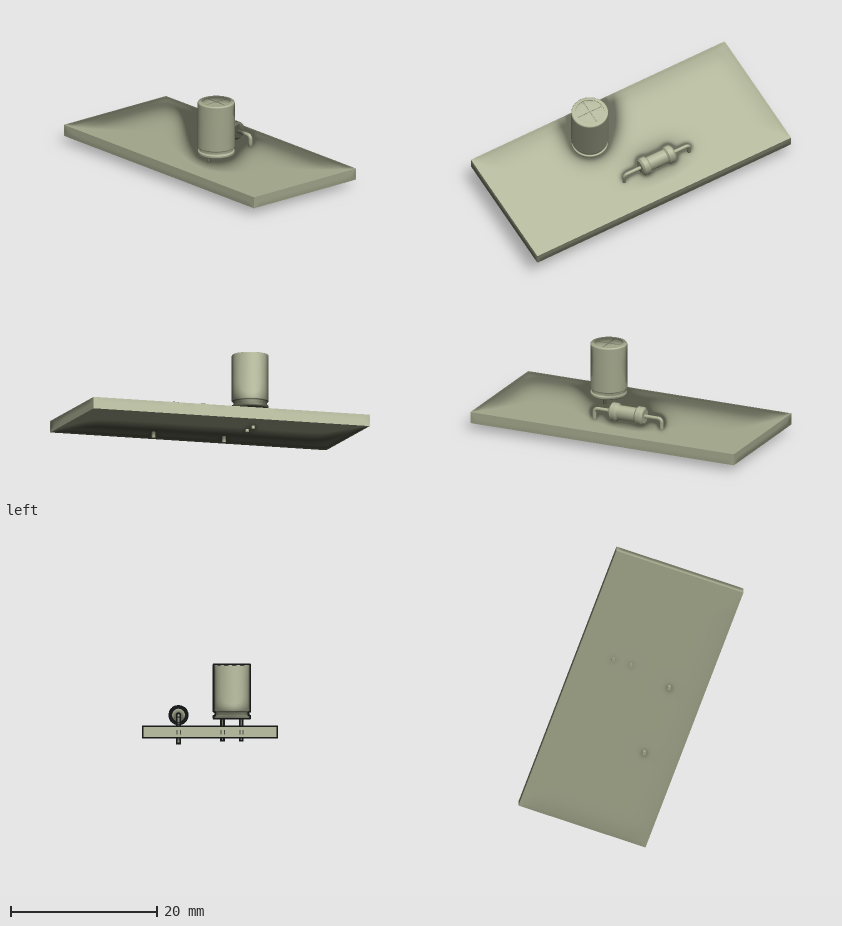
import cadquery as cq
import math

board_length = 39.95
board_width = 18.45
board_thickness = 1.6

resistor_x = -1.6
resistor_y = 4.3
resistor_axis_height = 1.5
resistor_length = 5.1
bell_diameter = 2.5
bell_length = 1.25
barrel_diameter = 2.0
resistor_lead_diameter = 0.5
resistor_lead_pitch = 10.2
resistor_lead_protrusion = 0.8
bend_radius = 0.5

capacitor_x = 4.8
capacitor_y = -3.0
can_diameter = 5.07
can_height = 7.5
can_standoff = 1.0
can_edge_rounding = 0.2
groove_height = 0.7
groove_floor_width = 0.28
groove_rounding = 0.1
vent_diameter = 4.0
vent_depth = 0.08
cross_slot_length = 3.6
cross_slot_width = 0.2
cross_slot_depth = 0.08
capacitor_lead_diameter = 0.45
capacitor_lead_pitch = 2.55
capacitor_lead_protrusion = 0.4

resistor_axis_z = board_thickness + resistor_axis_height
resistor_lead_points = [
    (resistor_x + side * resistor_lead_pitch / 2, resistor_y) for side in (-1, 1)
]
can_bottom_z = board_thickness + can_standoff
capacitor_lead_points = [
    (capacitor_x, capacitor_y + side * capacitor_lead_pitch / 2) for side in (-1, 1)
]


def make_board():
    """Plain rectangular board with a close-fitting hole for every lead."""
    board = cq.Workplane("XY").box(
        board_length, board_width, board_thickness, centered=(True, True, False)
    )
    for points, diameter in (
        (resistor_lead_points, resistor_lead_diameter),
        (capacitor_lead_points, capacitor_lead_diameter),
    ):
        holes = cq.Workplane("XY").pushPoints(points).circle(diameter / 2).extrude(board_thickness)
        board = board.cut(holes)
    return board


def make_resistor_body():
    """Barrel along X with a chamfered bell at each end, centred on the origin."""
    body = (
        cq.Workplane("YZ").circle(barrel_diameter / 2).extrude(resistor_length / 2, both=True)
    )
    bell_chamfer = (bell_diameter - barrel_diameter) / 2
    for bell_start in (-resistor_length / 2, resistor_length / 2 - bell_length):
        bell = (
            cq.Workplane("YZ", origin=(bell_start, 0, 0))
            .circle(bell_diameter / 2)
            .extrude(bell_length)
            .edges()
            .chamfer(bell_chamfer)
        )
        body = body.union(bell)
    return body


def make_resistor_lead():
    """One wire bent twice: up through the board, along the axis, and down again."""
    half_pitch = resistor_lead_pitch / 2
    tip_z = -(resistor_axis_z + resistor_lead_protrusion)
    bend_x = half_pitch - bend_radius
    bend_middle = bend_radius * (1 - math.sqrt(0.5))
    path = (
        cq.Workplane("XZ")
        .moveTo(-half_pitch, tip_z)
        .lineTo(-half_pitch, -bend_radius)
        .threePointArc((-half_pitch + bend_middle, -bend_middle), (-bend_x, 0))
        .lineTo(bend_x, 0)
        .threePointArc((half_pitch - bend_middle, -bend_middle), (half_pitch, -bend_radius))
        .lineTo(half_pitch, tip_z)
    )
    return (
        cq.Workplane("XY", origin=(-half_pitch, 0, tip_z))
        .circle(resistor_lead_diameter / 2)
        .sweep(path)
    )


def make_resistor():
    """Resistor body and its bent lead, as one solid."""
    resistor = make_resistor_body().union(make_resistor_lead())
    return resistor.translate((resistor_x, resistor_y, resistor_axis_z))


def make_can():
    """Grooved can with rounded rims, revolved about Z and standing on the XY plane."""
    radius = can_diameter / 2
    rim = can_edge_rounding
    curve = groove_rounding
    floor_radius = radius - 2 * curve
    half_floor = groove_floor_width / 2
    half_mouth = half_floor + 2 * curve
    profile = (
        cq.Workplane("XZ")
        .lineTo(radius - rim, 0)
        .tangentArcPoint((rim, rim))
        .lineTo(radius, groove_height - half_mouth)
        .tangentArcPoint((-curve, curve))
        .tangentArcPoint((-curve, curve))
        .lineTo(floor_radius, groove_height + half_floor)
        .tangentArcPoint((curve, curve))
        .tangentArcPoint((curve, curve))
        .lineTo(radius, can_height - rim)
        .tangentArcPoint((-rim, rim))
        .lineTo(0, can_height)
        .close()
    )
    return profile.revolve(360, (0, 0, 0), (0, 1, 0))


def cut_vent(can):
    """Shallow round recess in the can's top with a cross of slots in its floor."""
    floor_z = can_height - vent_depth
    recess = (
        cq.Workplane("XY", origin=(0, 0, floor_z)).circle(vent_diameter / 2).extrude(vent_depth)
    )
    can = can.cut(recess)
    slot = (
        cq.Workplane("XY", origin=(0, 0, floor_z - cross_slot_depth))
        .rect(cross_slot_length, cross_slot_width)
        .extrude(cross_slot_depth)
    )
    for angle in (0, 90):
        can = can.cut(slot.rotate((0, 0, 0), (0, 0, 1), angle))
    return can


def make_capacitor():
    """Can and its two straight leads, as one solid."""
    can = cut_vent(make_can()).translate((capacitor_x, capacitor_y, can_bottom_z))
    leads = (
        cq.Workplane("XY", origin=(0, 0, -capacitor_lead_protrusion))
        .pushPoints(capacitor_lead_points)
        .circle(capacitor_lead_diameter / 2)
        .extrude(capacitor_lead_protrusion + can_bottom_z)
    )
    return can.union(leads)


board = make_board()
resistor = make_resistor()
capacitor = make_capacitor()

result = cq.Compound.makeCompound(
    [body.solids().val() for body in (board, resistor, capacitor)]
)